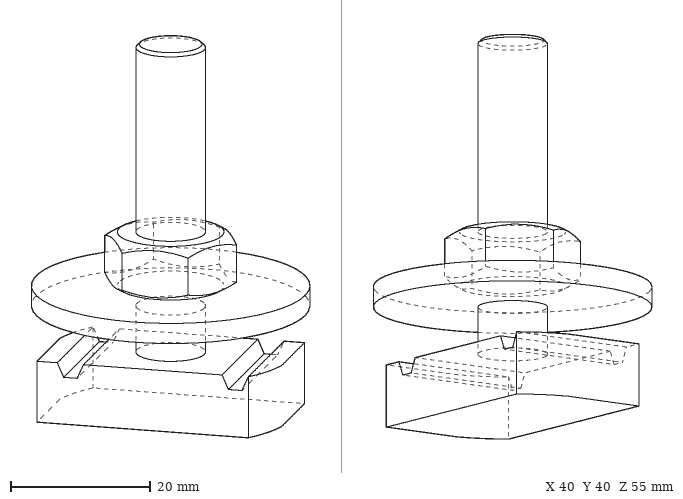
import cadquery as cq
import math


TOTAL_HEIGHT = 55.0
SHANK_DIAMETER = 10.0
TIP_CHAMFER = 0.5

HEAD_LENGTH = 34.5
HEAD_WIDTH = 19.6
HEAD_HEIGHT = 9.1

CORNER_SETBACK_X = 3.05
CORNER_SETBACK_Y = 7.05
CORNER_RADIUS = 17.5

GROOVE_OFFSET = 12.25
GROOVE_TOP_WIDTH = 3.9
GROOVE_FLOOR_WIDTH = 2.0
GROOVE_DEPTH = 2.1

WASHER_DIAMETER = 40.0
WASHER_THICKNESS = 3.0
WASHER_BOTTOM = 16.0

NUT_SIDES = 6
NUT_ACROSS_FLATS = 17.0
NUT_HEIGHT = 8.0
NUT_FACE_DIAMETER = 0.9 * NUT_ACROSS_FLATS
NUT_CHAMFER_ANGLE = 30.0
NUT_BOTTOM = WASHER_BOTTOM + WASHER_THICKNESS


def cylinder(diameter, bottom, height):
    return cq.Workplane("XY").workplane(offset=bottom).circle(diameter / 2).extrude(height)


def groove(x_center):
    """Trapezoidal cutter running along Y, open at the top of the head."""
    floor = HEAD_HEIGHT - GROOVE_DEPTH
    return (
        cq.Workplane("XZ")
        .moveTo(x_center - GROOVE_TOP_WIDTH / 2, HEAD_HEIGHT)
        .lineTo(x_center - GROOVE_FLOOR_WIDTH / 2, floor)
        .lineTo(x_center + GROOVE_FLOOR_WIDTH / 2, floor)
        .lineTo(x_center + GROOVE_TOP_WIDTH / 2, HEAD_HEIGHT)
        .close()
        .extrude(HEAD_WIDTH / 2, both=True)
    )


def hammer_head():
    """Rectangular head, rounded at the -X+Y and +X-Y corners, with two grooves."""
    half_length = HEAD_LENGTH / 2
    half_width = HEAD_WIDTH / 2
    arc_end_x = half_length - CORNER_SETBACK_X
    arc_end_y = half_width - CORNER_SETBACK_Y

    head = (
        cq.Workplane("XY")
        .moveTo(-half_length, -half_width)
        .lineTo(arc_end_x, -half_width)
        .radiusArc((half_length, -arc_end_y), -CORNER_RADIUS)
        .lineTo(half_length, half_width)
        .lineTo(-arc_end_x, half_width)
        .radiusArc((-half_length, arc_end_y), -CORNER_RADIUS)
        .close()
        .extrude(HEAD_HEIGHT)
    )
    for side in (-1, 1):
        head = head.cut(groove(side * GROOVE_OFFSET))
    return head


def shank():
    return cylinder(SHANK_DIAMETER, 0, TOTAL_HEIGHT).faces(">Z").chamfer(TIP_CHAMFER)


def nut():
    """Hexagon with corners on the X axis, cone-chamfered at both ends."""
    corner_diameter = NUT_ACROSS_FLATS / math.cos(math.pi / NUT_SIDES)
    corner_radius = corner_diameter / 2
    face_radius = NUT_FACE_DIAMETER / 2
    chamfer_drop = (corner_radius - face_radius) * math.tan(math.radians(NUT_CHAMFER_ANGLE))
    top = NUT_BOTTOM + NUT_HEIGHT

    hexagon = (
        cq.Workplane("XY")
        .workplane(offset=NUT_BOTTOM)
        .polygon(NUT_SIDES, corner_diameter)
        .extrude(NUT_HEIGHT)
    )
    chamfer_envelope = (
        cq.Workplane("XZ")
        .moveTo(0, NUT_BOTTOM)
        .lineTo(face_radius, NUT_BOTTOM)
        .lineTo(corner_radius, NUT_BOTTOM + chamfer_drop)
        .lineTo(corner_radius, top - chamfer_drop)
        .lineTo(face_radius, top)
        .lineTo(0, top)
        .close()
        .revolve(360, (0, 0, 0), (0, 1, 0))
    )
    return hexagon.intersect(chamfer_envelope)


washer = cylinder(WASHER_DIAMETER, WASHER_BOTTOM, WASHER_THICKNESS)
result = hammer_head().union(shank()).union(washer).union(nut())